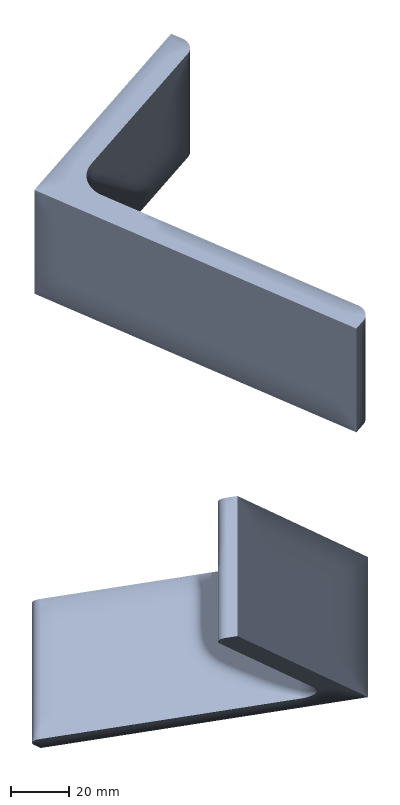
import cadquery as cq

long_leg = 130.0
short_leg = 90.0
thickness = 10.0
height = 50.0
root_radius = 11.0
toe_radius = 5.5


def vertical_edge(body, x, y):
    """Select the vertical edge of the body nearest to (x, y)."""
    return body.edges("|Z").edges(cq.selectors.NearestToPointSelector((x, y, height / 2)))


angle = (
    cq.Workplane("XY")
    .polyline([
        (0, 0),
        (long_leg, 0),
        (long_leg, thickness),
        (thickness, thickness),
        (thickness, short_leg),
        (0, short_leg),
    ])
    .close()
    .extrude(height)
)

angle = vertical_edge(angle, thickness, thickness).fillet(root_radius)
for toe_x, toe_y in [(long_leg, thickness), (thickness, short_leg)]:
    angle = vertical_edge(angle, toe_x, toe_y).fillet(toe_radius)

result = angle